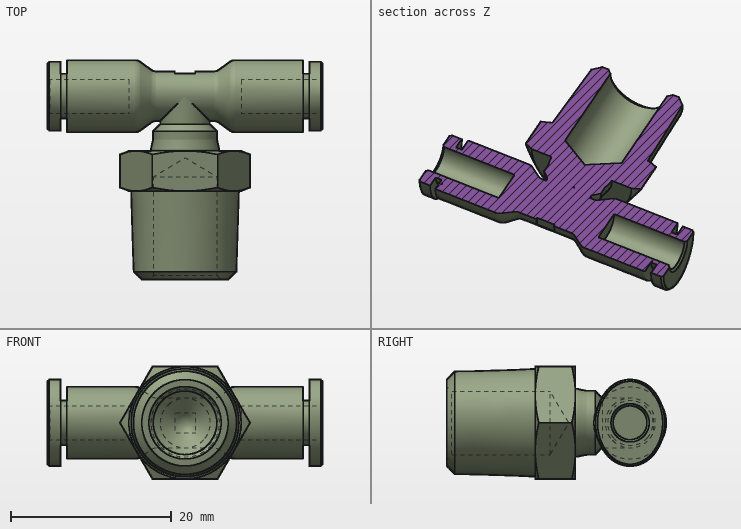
import cadquery as cq
import math

run_end = 17.1
collar_thickness = 1.65
collar_half_width = 4.3
collar_half_height = 5.4
collar_chamfer = 0.25
collar_neck_radius = 2.8
sleeve_end = 14.7
sleeve_radius = 4.5
sleeve_end_fillet = 0.15
core_radius = 3.1
shoulder_outer = 5.87
shoulder_inner = 3.93
shoulder_fillet = 1.0
shoulder_limit = 10.0
tube_radius = 2.1
tube_stop = 7.0
tube_mouth_chamfer = 0.28

recess_width = 2.5
recess_y = 2.85

branch_cone_start = 3.48
branch_cone_end = 4.33
branch_taper_start = 5.4
branch_taper_end = 6.56
hex_top = 6.8
hex_height = 5.0
thread_length = 11.0
hex_bottom = hex_top + hex_height
branch_end = hex_bottom + thread_length
branch_radius = 4.0
branch_base_radius = 4.25

hex_flats = 14.0
hex_corner_radius = hex_flats / math.sqrt(3)
hex_face_radius = 6.98
hex_chamfer_angle = math.radians(22)

thread_root_radius = 6.72
thread_taper = 1 / 32
thread_chamfer = 1.0
thread_tip_radius = 5.37
bore_radius = 3.95
bore_mouth_radius = 4.5
bore_depth = 12.8
drill_half_angle = math.radians(59)


def revolve_about_x(points):
    """Turn (x, radius) points around the X axis."""
    return cq.Workplane("XY").polyline(points).close().revolve(360, (0, 0), (1, 0))


def revolve_about_y(points):
    """Turn (radius, distance toward -Y) points around the Y axis."""
    outline = [(radius, -distance) for radius, distance in points]
    return cq.Workplane("XY").polyline(outline).close().revolve(360, (0, 0), (0, 1))


def make_run_body():
    """Core with a shoulder and a sleeve on each side."""
    half_outline = [
        (shoulder_inner, core_radius),
        (shoulder_outer, sleeve_radius),
        (sleeve_end, sleeve_radius),
        (sleeve_end, 0),
    ]
    mirrored_outline = [(-x, radius) for x, radius in reversed(half_outline)]
    body = revolve_about_x(mirrored_outline + half_outline)
    shoulder_edges = cq.selectors.BoxSelector(
        (-shoulder_limit, -sleeve_radius, -sleeve_radius),
        (shoulder_limit, sleeve_radius, sleeve_radius),
    )
    body = body.edges("%CIRCLE").edges(shoulder_edges).fillet(shoulder_fillet)
    return body.faces("<X or >X").edges().fillet(sleeve_end_fillet)


def make_collar():
    """Oval release collar with its round neck, on the +X side."""
    collar_start = run_end - collar_thickness
    collar = (
        cq.Workplane("YZ", origin=(collar_start, 0, 0))
        .ellipse(collar_half_width, collar_half_height)
        .extrude(collar_thickness)
        .faces(">X").edges().chamfer(collar_chamfer)
    )
    neck = (
        cq.Workplane("YZ", origin=(sleeve_end, 0, 0))
        .circle(collar_neck_radius)
        .extrude(collar_start - sleeve_end)
    )
    return collar.union(neck)


def make_tube_socket():
    """Blind tube hole with a chamfered mouth, on the +X side."""
    return revolve_about_x([
        (tube_stop, 0),
        (tube_stop, tube_radius),
        (run_end - tube_mouth_chamfer, tube_radius),
        (run_end, tube_radius + tube_mouth_chamfer),
        (run_end, 0),
    ])


def make_run():
    run = make_run_body()
    collar = make_collar()
    socket = make_tube_socket()
    run = run.union(collar).union(collar.mirror("YZ"))
    return run.cut(socket).cut(socket.mirror("YZ"))


def make_branch():
    """Round stem from the run axis down to the hexagon."""
    return revolve_about_y([
        (0, 0),
        (core_radius, 0),
        (core_radius, branch_cone_start),
        (branch_radius, branch_cone_end),
        (branch_radius, branch_taper_start),
        (branch_base_radius, branch_taper_end),
        (branch_base_radius, hex_top),
        (0, hex_top),
    ])


def make_hexagon():
    """Hexagon with corners on X, its corners turned off at both ends."""
    prism = (
        cq.Workplane("XZ", origin=(0, -hex_top, 0))
        .polygon(6, 2 * hex_corner_radius)
        .extrude(hex_height)
    )
    chamfer_drop = (hex_corner_radius - hex_face_radius) * math.tan(hex_chamfer_angle)
    envelope = revolve_about_y([
        (0, hex_top),
        (hex_face_radius, hex_top),
        (hex_corner_radius, hex_top + chamfer_drop),
        (hex_corner_radius, hex_bottom - chamfer_drop),
        (hex_face_radius, hex_bottom),
        (0, hex_bottom),
    ])
    return prism.intersect(envelope)


def make_thread():
    """Plain tapered thread body with a chamfered tip."""
    taper_length = thread_length - thread_chamfer
    return revolve_about_y([
        (0, hex_bottom),
        (thread_root_radius, hex_bottom),
        (thread_root_radius - taper_length * thread_taper, hex_bottom + taper_length),
        (thread_tip_radius, branch_end),
        (0, branch_end),
    ])


def make_bore():
    """Blind bore from the threaded end with a drill-point bottom."""
    bore_bottom = branch_end - bore_depth
    point_height = bore_radius / math.tan(drill_half_angle)
    return revolve_about_y([
        (0, bore_bottom - point_height),
        (bore_radius, bore_bottom),
        (bore_radius, branch_end - (bore_mouth_radius - bore_radius)),
        (bore_mouth_radius, branch_end),
        (0, branch_end),
    ])


def make_recess():
    """Block that shaves the small flat on the +Y side of the core."""
    return (
        cq.Workplane("XZ", origin=(0, recess_y, 0))
        .rect(recess_width, 2 * core_radius)
        .extrude(-core_radius)
    )


result = (
    make_run()
    .union(make_branch())
    .union(make_hexagon())
    .union(make_thread())
    .cut(make_bore())
    .cut(make_recess())
)